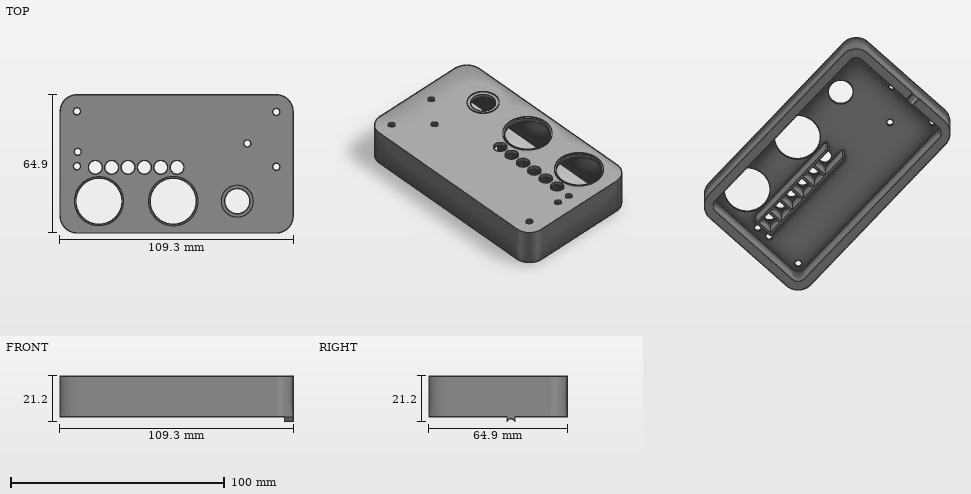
import cadquery as cq

LENGTH = 109.3
WIDTH = 64.94
TOTAL_HEIGHT = 21.16
TAB_HEIGHT = 2.11
BODY_HEIGHT = TOTAL_HEIGHT - TAB_HEIGHT
CORNER_RADIUS = 8.1
WALL = 4.2
PLATE = 2.0
PLATE_UNDERSIDE = BODY_HEIGHT - PLATE

TAB_WIDTH = 3.9
TAB_Y = 6.0
TAB_CHANNEL_DIAMETER = 4.0
TAB_CHANNEL_DEPTH = 1.15

STEPPED_OPENINGS = [
    (-36.4, 21.5, 23.0),
    (-1.6, 21.5, 23.16),
    (28.4, 11.7, 15.0),
]
OPENING_ROW_Y = -17.5
RECESS_DEPTH = 0.4

LIGHT_COUNT = 6
LIGHT_DIAMETER = 6.35
LIGHT_PITCH = 7.66
FIRST_LIGHT_X = -38.1
LIGHT_ROW_Y = -1.65
PARTITION = 1.0
CELL_WIDTH = 7.2
PARTITION_BOTTOM = 3.2
FRONT_PARTITION_END_X = 6.0
BACK_PARTITION_END_X = 8.4

CORNER_SCREW_DIAMETER = 3.25
CORNER_SCREWS = [(-46.7, 24.6), (46.7, 24.3), (-46.7, -1.1), (46.7, -1.4)]
INNER_SCREW_DIAMETER = 3.18
INNER_SCREWS = [(-46.3, 5.6), (33.1, 9.55)]


def box_between(x_range, y_range, z_range):
    """Box given by its lower and upper limits on each axis."""
    sizes = [high - low for low, high in (x_range, y_range, z_range)]
    corner = (x_range[0], y_range[0], z_range[0])
    return cq.Workplane("XY").box(*sizes, centered=False).translate(corner)


def make_shell():
    """Rounded box with a flat top plate and an open bottom."""
    outer = cq.Workplane("XY").rect(LENGTH, WIDTH).extrude(BODY_HEIGHT)
    outer = outer.edges("|Z").fillet(CORNER_RADIUS)
    cavity = cq.Workplane("XY").rect(LENGTH - 2 * WALL, WIDTH - 2 * WALL).extrude(PLATE_UNDERSIDE)
    cavity = cavity.edges("|Z").fillet(CORNER_RADIUS - WALL)
    return outer.cut(cavity)


def make_partitions():
    """Comb below the light row: front and back walls joined by dividers, open at its +X end."""
    z_range = (PARTITION_BOTTOM, PLATE_UNDERSIDE)
    front_y = LIGHT_ROW_Y - CELL_WIDTH / 2
    back_y = LIGHT_ROW_Y + CELL_WIDTH / 2
    first_divider_x = FIRST_LIGHT_X - LIGHT_PITCH / 2
    start_x = first_divider_x - PARTITION / 2
    comb = box_between((start_x, FRONT_PARTITION_END_X), (front_y - PARTITION, front_y), z_range)
    back_wall = box_between((start_x, BACK_PARTITION_END_X), (back_y, back_y + PARTITION), z_range)
    comb = comb.union(back_wall)
    for index in range(LIGHT_COUNT):
        divider_x = first_divider_x + index * LIGHT_PITCH
        x_range = (divider_x - PARTITION / 2, divider_x + PARTITION / 2)
        comb = comb.union(box_between(x_range, (front_y, back_y), z_range))
    return comb


def make_tab():
    """Tab below the rim with a round-topped channel along X in its lower face."""
    tab = box_between(
        (LENGTH / 2 - WALL, LENGTH / 2),
        (TAB_Y - TAB_WIDTH / 2, TAB_Y + TAB_WIDTH / 2),
        (-TAB_HEIGHT, 0),
    )
    channel_radius = TAB_CHANNEL_DIAMETER / 2
    channel_z = -TAB_HEIGHT + TAB_CHANNEL_DEPTH - channel_radius
    channel = cq.Workplane("YZ").center(TAB_Y, channel_z).circle(channel_radius).extrude(LENGTH)
    return tab.cut(channel)


def plate_holes(points, diameter, depth=PLATE):
    """Cylinders cutting down from the top face."""
    top = cq.Workplane("XY").workplane(offset=BODY_HEIGHT)
    return top.pushPoints(points).circle(diameter / 2).extrude(-depth)


light_points = [(FIRST_LIGHT_X + index * LIGHT_PITCH, LIGHT_ROW_Y) for index in range(LIGHT_COUNT)]

result = make_shell().union(make_partitions()).union(make_tab())
result = result.cut(plate_holes(light_points, LIGHT_DIAMETER))
result = result.cut(plate_holes(CORNER_SCREWS, CORNER_SCREW_DIAMETER))
result = result.cut(plate_holes(INNER_SCREWS, INNER_SCREW_DIAMETER))
for opening_x, opening_diameter, recess_diameter in STEPPED_OPENINGS:
    center = [(opening_x, OPENING_ROW_Y)]
    result = result.cut(plate_holes(center, opening_diameter))
    result = result.cut(plate_holes(center, recess_diameter, RECESS_DEPTH))